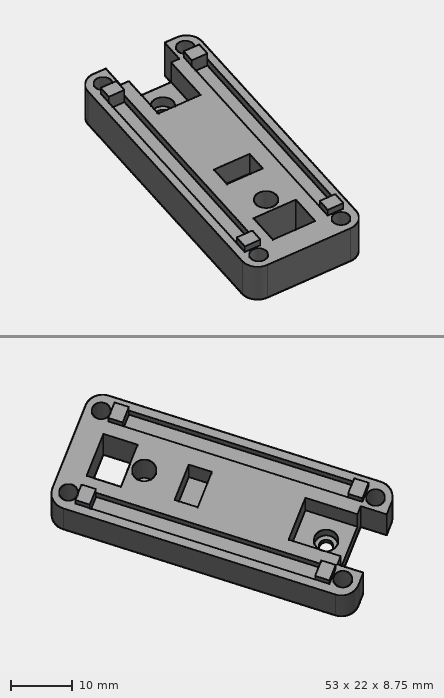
import cadquery as cq

LENGTH = 53.0
WIDTH = 22.0
TOTAL_HEIGHT = 8.75
POST_HEIGHT = 1.25
BODY_HEIGHT = TOTAL_HEIGHT - POST_HEIGHT
CORNER_RADIUS = 2.95

CORNER_HOLE_DIAMETER = 3.1
CORNER_HOLE_INSET_X = 2.75
CORNER_HOLE_Y = 7.95

NOTCH_LENGTH = 4.5
NOTCH_WIDTH = 11.35
RECESS_LENGTH = 9.0
RECESS_WIDTH = 8.15
RECESS_FLOOR = 3.0

GROOVE_Y = 8.0
GROOVE_WIDTH = 3.0
GROOVE_DEPTH = 1.5
GROOVE_END_MARGIN = NOTCH_LENGTH
POST_LENGTH = 2.5

SCREW_DIAMETER = 2.4
COUNTERBORE_DIAMETER = 4.0
COUNTERBORE_FLOOR = 0.95
SCREW_X = (-18.0, 13.45)

WINDOW_LENGTH = 5.95
WINDOW_WIDTH = RECESS_WIDTH
POCKET_X = 5.0
POCKET_LENGTH = 4.05
POCKET_WIDTH = 6.9
POCKET_FLOOR = RECESS_FLOOR

NEGATIVE_END = -LENGTH / 2
NOTCH_END = NEGATIVE_END + NOTCH_LENGTH
GROOVE_LENGTH = LENGTH - 2 * GROOVE_END_MARGIN
GROOVE_END = GROOVE_LENGTH / 2


def block(x_center, y_center, length, width, bottom, top):
    """Box centred at (x_center, y_center) between two heights."""
    return (
        cq.Workplane("XY", origin=(x_center, y_center, bottom))
        .rect(length, width)
        .extrude(top - bottom)
    )


def rod(x_center, y_center, diameter, bottom, top):
    """Vertical cylinder between two heights."""
    return (
        cq.Workplane("XY", origin=(x_center, y_center, bottom))
        .circle(diameter / 2)
        .extrude(top - bottom)
    )


def make_body():
    slab = block(0, 0, LENGTH, WIDTH, 0, BODY_HEIGHT)
    return slab.edges("|Z").fillet(CORNER_RADIUS)


def cut_connector_end(part):
    notch = block(NEGATIVE_END + NOTCH_LENGTH / 2, 0, NOTCH_LENGTH, NOTCH_WIDTH, 0, BODY_HEIGHT)
    recess = block(NOTCH_END + RECESS_LENGTH / 2, 0, RECESS_LENGTH, RECESS_WIDTH, RECESS_FLOOR, BODY_HEIGHT)
    return part.cut(notch).cut(recess)


def cut_window_and_pocket(part):
    window_x = GROOVE_END - WINDOW_LENGTH / 2
    window = block(window_x, 0, WINDOW_LENGTH, WINDOW_WIDTH, 0, BODY_HEIGHT)
    pocket = block(POCKET_X, 0, POCKET_LENGTH, POCKET_WIDTH, POCKET_FLOOR, BODY_HEIGHT)
    return part.cut(window).cut(pocket)


def add_grooves_and_posts(part):
    groove_floor = BODY_HEIGHT - GROOVE_DEPTH
    post_x = GROOVE_END - POST_LENGTH / 2
    for y in (-GROOVE_Y, GROOVE_Y):
        part = part.cut(block(0, y, GROOVE_LENGTH, GROOVE_WIDTH, groove_floor, BODY_HEIGHT))
        for x in (-post_x, post_x):
            part = part.union(block(x, y, POST_LENGTH, GROOVE_WIDTH, groove_floor, TOTAL_HEIGHT))
    return part


def cut_holes(part):
    corner_x = LENGTH / 2 - CORNER_HOLE_INSET_X
    for x in (-corner_x, corner_x):
        for y in (-CORNER_HOLE_Y, CORNER_HOLE_Y):
            part = part.cut(rod(x, y, CORNER_HOLE_DIAMETER, 0, BODY_HEIGHT))
    for x in SCREW_X:
        part = part.cut(rod(x, 0, SCREW_DIAMETER, 0, BODY_HEIGHT))
        part = part.cut(rod(x, 0, COUNTERBORE_DIAMETER, COUNTERBORE_FLOOR, BODY_HEIGHT))
    return part


result = make_body()
result = cut_connector_end(result)
result = cut_window_and_pocket(result)
result = add_grooves_and_posts(result)
result = cut_holes(result)